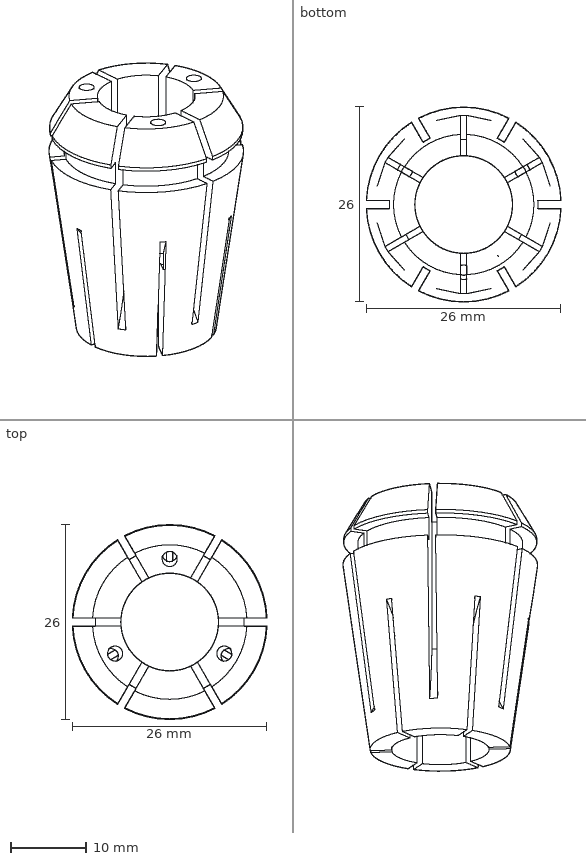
import cadquery as cq
import math

HEIGHT = 34.0
BODY_RADIUS = 13.0
TAPER_ANGLE = 8.0
BORE_RADIUS = 6.5

GROOVE_RADIUS = 11.0
GROOVE_BOTTOM = 25.9
HEAD_BOTTOM = 29.0
HEAD_RADIUS = 12.9
HEAD_CONE_BOTTOM = 29.5
HEAD_CONE_ANGLE = 30.0

SLOT_COUNT = 6
SLOT_PITCH = 360.0 / SLOT_COUNT
TOP_SLOT_WIDTH = 1.06
TOP_SLOT_ARC_RADIUS = 26.0
TOP_SLOT_OUTER_Z = 4.0
TOP_SLOT_INNER_Z = 12.0
BOTTOM_SLOT_WIDTH = 0.8
BOTTOM_SLOT_ARC_RADIUS = 20.0
BOTTOM_SLOT_OUTER_Z = 18.0
BOTTOM_SLOT_INNER_RADIUS = 8.67
BOTTOM_SLOT_INNER_Z = 12.95
BOTTOM_SLOT_START = SLOT_PITCH / 2

HOLE_COUNT = 3
HOLE_RADIUS = 1.0
HOLE_CIRCLE_RADIUS = 8.4
HOLE_DEPTH = HEIGHT - BOTTOM_SLOT_INNER_Z
HOLE_OUTWARD_SHIFT = 0.67
HOLE_START = 90.0

CLEARANCE = 1.0


def taper_radius(z):
    """Radius of the locating taper at height z."""
    return BODY_RADIUS - (GROOVE_BOTTOM - z) * math.tan(math.radians(TAPER_ANGLE))


def make_body():
    head_cone_height = HEIGHT - HEAD_CONE_BOTTOM
    top_radius = HEAD_RADIUS - head_cone_height * math.tan(math.radians(HEAD_CONE_ANGLE))
    profile = [
        (BORE_RADIUS, 0),
        (taper_radius(0), 0),
        (BODY_RADIUS, GROOVE_BOTTOM),
        (GROOVE_RADIUS, GROOVE_BOTTOM),
        (GROOVE_RADIUS, HEAD_BOTTOM),
        (HEAD_RADIUS, HEAD_BOTTOM),
        (HEAD_RADIUS, HEAD_CONE_BOTTOM),
        (top_radius, HEIGHT),
        (BORE_RADIUS, HEIGHT),
    ]
    return cq.Workplane("XZ").polyline(profile).close().revolve(360, (0, 0, 0), (0, 1, 0))


def slot_cutter(width, inner_radius, inner_z, outer_z, open_z, arc_radius):
    """Slot along +X, open at open_z, whose end is an arc from the inner radius to the taper."""
    outer_radius = taper_radius(outer_z)
    run = outer_radius - inner_radius
    rise = outer_z - inner_z
    chord = math.hypot(run, rise)
    bulge = arc_radius - math.sqrt(arc_radius**2 - (chord / 2) ** 2)
    mid_x = (inner_radius + outer_radius) / 2 - bulge * abs(rise) / chord
    mid_z = (inner_z + outer_z) / 2 + math.copysign(bulge * run / chord, rise)
    start_x = BORE_RADIUS - CLEARANCE
    far_x = BODY_RADIUS + CLEARANCE
    return (
        cq.Workplane("XZ")
        .moveTo(start_x, open_z)
        .lineTo(start_x, inner_z)
        .lineTo(inner_radius, inner_z)
        .threePointArc((mid_x, mid_z), (outer_radius, outer_z))
        .lineTo(far_x, outer_z)
        .lineTo(far_x, open_z)
        .close()
        .extrude(width / 2, both=True)
    )


def cut_slots(body, cutter, start_angle):
    for index in range(SLOT_COUNT):
        angle = start_angle + index * SLOT_PITCH
        body = body.cut(cutter.rotate((0, 0, 0), (0, 0, 1), angle))
    return body


def cut_holes(body):
    """Cut leaning blind holes that run from the top face down into the bottom slots."""
    lean = math.degrees(math.atan2(HOLE_OUTWARD_SHIFT, HOLE_DEPTH))
    length = math.hypot(HOLE_OUTWARD_SHIFT, HOLE_DEPTH)
    hole = (
        cq.Workplane("XY")
        .workplane(offset=CLEARANCE)
        .circle(HOLE_RADIUS)
        .extrude(-length - CLEARANCE)
        .rotate((0, 0, 0), (0, 1, 0), -lean)
        .translate((HOLE_CIRCLE_RADIUS, 0, HEIGHT))
    )
    for index in range(HOLE_COUNT):
        angle = HOLE_START + index * 360 / HOLE_COUNT
        body = body.cut(hole.rotate((0, 0, 0), (0, 0, 1), angle))
    return body


top_slot = slot_cutter(
    width=TOP_SLOT_WIDTH,
    inner_radius=BORE_RADIUS,
    inner_z=TOP_SLOT_INNER_Z,
    outer_z=TOP_SLOT_OUTER_Z,
    open_z=HEIGHT + CLEARANCE,
    arc_radius=TOP_SLOT_ARC_RADIUS,
)
bottom_slot = slot_cutter(
    width=BOTTOM_SLOT_WIDTH,
    inner_radius=BOTTOM_SLOT_INNER_RADIUS,
    inner_z=BOTTOM_SLOT_INNER_Z,
    outer_z=BOTTOM_SLOT_OUTER_Z,
    open_z=-CLEARANCE,
    arc_radius=BOTTOM_SLOT_ARC_RADIUS,
)

collet = make_body()
collet = cut_slots(collet, top_slot, 0)
collet = cut_slots(collet, bottom_slot, BOTTOM_SLOT_START)
collet = cut_holes(collet)

result = cq.Workplane(obj=collet.val())